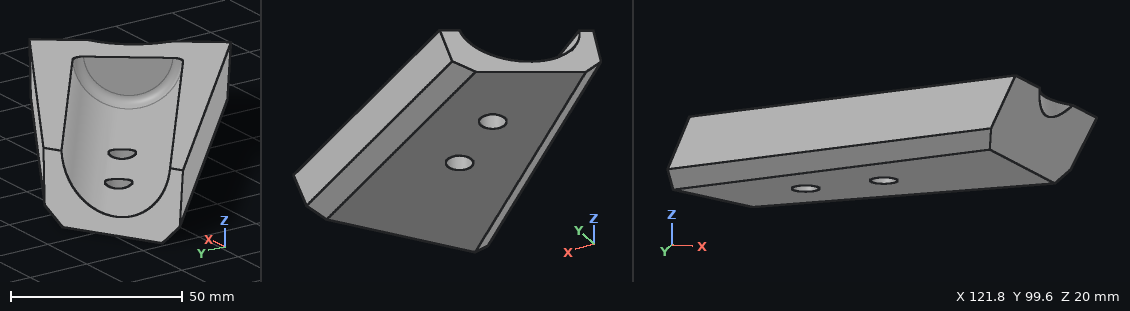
import cadquery as cq
import math

HEIGHT = 20.0
LENGTH = 100.0
WIDE_HALF_WIDTH = 29.5
SIDE_TAPER = 5
BOTTOM_CHAMFER = 5.0
TURN = -36.87

NARROW_MITRE = 22.5
NARROW_SLOPE = 25
WIDE_SLOPE = 28.5

GROOVE_RADIUS = 16.2
GROOVE_DEPTH = 15.0
GROOVE_END = 14.0
GROOVE_FILLET = 3.0

HOLE_DIAMETER = 8.0
HOLE_DISTANCES = (55.0, 80.0)

NOTCH_RADIUS = 25.0
NOTCH_DEPTH = 3.0

OVERRUN = 73.1


def tapered_block():
    """Long wedge with chamfered lower side edges, ends still untrimmed."""
    far = LENGTH + OVERRUN
    far_half_width = WIDE_HALF_WIDTH - far * math.tan(math.radians(SIDE_TAPER))
    outline = [
        (0, -WIDE_HALF_WIDTH),
        (0, WIDE_HALF_WIDTH),
        (-far, far_half_width),
        (-far, -far_half_width),
    ]
    block = cq.Workplane("XY").polyline(outline).close().extrude(-HEIGHT)
    return block.faces("<Z").edges("<Y or >Y").chamfer(BOTTOM_CHAMFER)


def end_trim(slope):
    """Solid on the +X side of a sloping plane through the Y axis."""
    run = math.tan(math.radians(slope)) * HEIGHT
    profile = [(0, 0), (-run, -HEIGHT), (OVERRUN, -HEIGHT), (OVERRUN, 0)]
    return cq.Workplane("XZ").polyline(profile).close().extrude(OVERRUN, both=True)


def narrow_end_trim():
    """Trim for the narrow end, skewed in plan."""
    trim = end_trim(-NARROW_SLOPE).rotate((0, 0, 0), (0, 0, 1), 180 - NARROW_MITRE)
    return trim.translate((-LENGTH, 0, 0))


def groove():
    """Round-bottomed trough, open at the narrow end."""
    return (
        cq.Workplane("YZ", origin=(-GROOVE_END, 0, GROOVE_RADIUS - GROOVE_DEPTH))
        .circle(GROOVE_RADIUS)
        .extrude(-(LENGTH + OVERRUN))
        .faces(">X")
        .edges()
        .fillet(GROOVE_FILLET)
    )


def holes():
    centres = [(-distance, 0) for distance in HOLE_DISTANCES]
    return cq.Workplane("XY").pushPoints(centres).circle(HOLE_DIAMETER / 2).extrude(-HEIGHT)


def notch():
    """Upright scallop across the top edge of the wide end."""
    centre = NOTCH_RADIUS - NOTCH_DEPTH
    return cq.Workplane("XY").center(centre, 0).circle(NOTCH_RADIUS).extrude(-HEIGHT)


body = tapered_block()
for cutter in (end_trim(WIDE_SLOPE), narrow_end_trim(), groove(), holes(), notch()):
    body = body.cut(cutter)

result = body.rotate((0, 0, 0), (0, 0, 1), TURN)